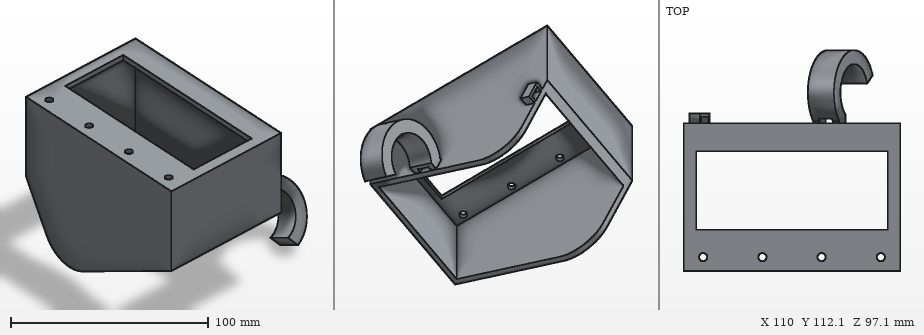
import cadquery as cq
import math

length = 110.0
depth = 75.0
side_height = 50.0
slope_angle = 28.6
corner_radius = 20.0
wall = 3.3

window_length = 97.1
window_depth = 39.7
window_front = 21.1
hole_diameter = 4.0
hole_count = 4
hole_spacing = 30.0
hole_front = 7.1

overall_depth = 112.1
hook_outer_radius = 21.5
hook_thickness = 7.1
hook_width = 15.1
hook_edge_gap = 31.4
hook_center_drop = 8.6
tip_outer_angle = 24.0
tip_inner_angle = 18.0
root_bottom_rise = 9.2
root_top_rise = 15.8
strap_slot_width = 7.5
strap_slot_depth = 2.2

loop_width = 6.0
loop_length = 10.2
loop_height = 4.9
loop_edge_gap = 6.2
loop_slot_length = 7.1
loop_slot_depth = 3.4

angle = math.radians(slope_angle)
long_slope = length * math.cos(angle)
short_slope = length * math.sin(angle)
corner_x = short_slope * math.sin(angle)
corner_z = -side_height - short_slope * math.cos(angle)


def box(x, y, z, size_x, size_y, size_z):
    """Box grown from its lowest corner."""
    return cq.Workplane("XY").box(size_x, size_y, size_z, centered=False).translate((x, y, z))


def tilt(shape):
    """Move a shape built on the sharp corner, X along the long slope and Z along the short one."""
    return shape.rotate((0, 0, 0), (0, 1, 0), -slope_angle).translate((corner_x, 0, corner_z))


def make_housing():
    outline = [(0, 0), (length, 0), (length, -side_height), (corner_x, corner_z), (0, -side_height)]
    body = cq.Workplane("XZ").polyline(outline).close().extrude(-depth)
    corner_edge = cq.selectors.NearestToPointSelector((corner_x, depth / 2, corner_z))
    body = body.edges(corner_edge).fillet(corner_radius)
    cavity_bottom = corner_z - wall
    cavity = box(wall, wall, cavity_bottom, length - 2 * wall, depth - 2 * wall, -wall - cavity_bottom)
    window_left = (length - window_length) / 2
    window = box(window_left, window_front, -wall, window_length, window_depth, wall)
    first_hole = (length - (hole_count - 1) * hole_spacing) / 2
    hole_points = [(first_hole + i * hole_spacing, hole_front) for i in range(hole_count)]
    holes = cq.Workplane("XY").pushPoints(hole_points).circle(hole_diameter / 2).extrude(-wall)
    return body.cut(cavity).cut(window).cut(holes)


def make_hook():
    center_y = overall_depth - hook_outer_radius
    inner_radius = hook_outer_radius - hook_thickness
    left = long_slope - hook_edge_gap - hook_width

    def on_circle(radius, degrees_from_down):
        turn = math.radians(degrees_from_down)
        return (center_y + radius * math.sin(turn), -hook_center_drop - radius * math.cos(turn))

    def at_height(radius, rise):
        return (center_y - math.sqrt(radius**2 - rise**2), rise - hook_center_drop)

    far_side = 100.0
    profile = (
        cq.Workplane("YZ", origin=(left, 0, 0))
        .moveTo(depth, root_bottom_rise - hook_center_drop)
        .lineTo(*at_height(inner_radius, root_bottom_rise))
        .threePointArc(on_circle(inner_radius, far_side), on_circle(inner_radius, tip_inner_angle))
        .lineTo(*on_circle(hook_outer_radius, tip_outer_angle))
        .threePointArc(on_circle(hook_outer_radius, far_side), at_height(hook_outer_radius, root_top_rise))
        .lineTo(depth, root_top_rise - hook_center_drop)
        .close()
    )
    slot_left = left + (hook_width - strap_slot_width) / 2
    slot_bottom = root_bottom_rise - hook_center_drop
    slot_height = hook_outer_radius
    slot = box(slot_left, depth, slot_bottom, strap_slot_width, strap_slot_depth, slot_height)
    return tilt(profile.extrude(hook_width).cut(slot))


def make_loop():
    bottom = short_slope - loop_edge_gap - loop_length
    block = box(0, depth, bottom, loop_width, loop_height, loop_length)
    slot_bottom = bottom + (loop_length - loop_slot_length) / 2
    slot = box(0, depth, slot_bottom, loop_width, loop_slot_depth, loop_slot_length)
    return tilt(block.cut(slot))


result = make_housing().union(make_hook()).union(make_loop())